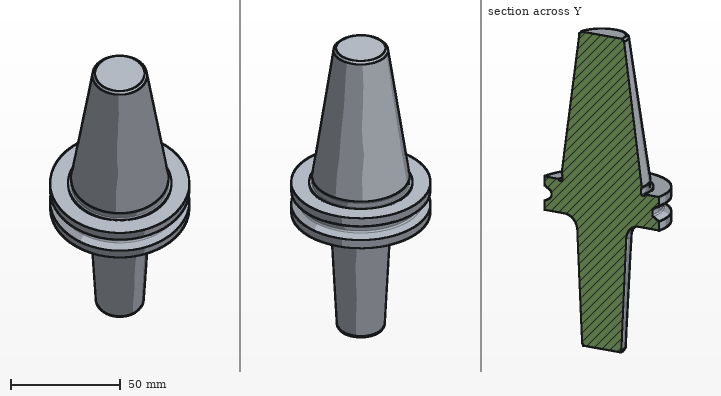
import cadquery as cq
import math

TOTAL_LENGTH = 148.4
GAUGE_HEIGHT = 80.0
FLANGE_TOP = 76.9
FLANGE_BOTTOM = 60.8

GAUGE_RADIUS = 22.3
TAPER_SLOPE = 3.5 / 24
SHANK_CHAMFER = 1.2
NECK_RADIUS = 22.0
NECK_STEP_HEIGHT = 78.8

FLANGE_RADIUS = 31.8
GROOVE_RADIUS = 28.0
GROOVE_CENTER = 68.9
GROOVE_FLOOR_WIDTH = 3.0
GROOVE_FILLET = 1.0
GROOVE_FLANK_ANGLE = 30.0
RECESS_RADIUS = 23.6
RECESS_DEPTH = 0.7
RECESS_FILLET = 0.5

NOSE_END_RADIUS = 11.0
NOSE_ROOT_RADIUS = 13.7
NOSE_ROOT_HEIGHT = 54.0
NOSE_CHAMFER = 0.7
NOSE_CHAMFER_HEIGHT = 1.2

EDGE_MARGIN = 0.07

shank_end_radius = GAUGE_RADIUS - (TOTAL_LENGTH - GAUGE_HEIGHT) * TAPER_SLOPE
chamfer_start = TOTAL_LENGTH - SHANK_CHAMFER
chamfer_radius = shank_end_radius + SHANK_CHAMFER * TAPER_SLOPE
flank_height = (FLANGE_RADIUS - GROOVE_RADIUS) * math.tan(math.radians(GROOVE_FLANK_ANGLE))
floor_top = GROOVE_CENTER + GROOVE_FLOOR_WIDTH / 2
floor_bottom = GROOVE_CENTER - GROOVE_FLOOR_WIDTH / 2

blend_radius = FLANGE_BOTTOM - NOSE_ROOT_HEIGHT
blend_top_radius = NOSE_ROOT_RADIUS + blend_radius
arc_inset = blend_radius * (1 - math.sqrt(0.5))
blend_middle = (NOSE_ROOT_RADIUS + arc_inset, FLANGE_BOTTOM - arc_inset)

profile = (
    cq.Workplane("XZ")
    .moveTo(0, 0)
    .lineTo(NOSE_END_RADIUS - NOSE_CHAMFER, 0)
    .lineTo(NOSE_END_RADIUS, NOSE_CHAMFER_HEIGHT)
    .lineTo(NOSE_ROOT_RADIUS, NOSE_ROOT_HEIGHT)
    .threePointArc(blend_middle, (blend_top_radius, FLANGE_BOTTOM))
    .lineTo(FLANGE_RADIUS, FLANGE_BOTTOM)
    .lineTo(FLANGE_RADIUS, floor_bottom - flank_height)
    .lineTo(GROOVE_RADIUS, floor_bottom)
    .lineTo(GROOVE_RADIUS, floor_top)
    .lineTo(FLANGE_RADIUS, floor_top + flank_height)
    .lineTo(FLANGE_RADIUS, FLANGE_TOP)
    .lineTo(RECESS_RADIUS, FLANGE_TOP)
    .lineTo(RECESS_RADIUS, FLANGE_TOP - RECESS_DEPTH)
    .lineTo(NECK_RADIUS, FLANGE_TOP - RECESS_DEPTH)
    .lineTo(NECK_RADIUS, NECK_STEP_HEIGHT)
    .lineTo(GAUGE_RADIUS, GAUGE_HEIGHT)
    .lineTo(chamfer_radius, chamfer_start)
    .lineTo(chamfer_radius - SHANK_CHAMFER, TOTAL_LENGTH)
    .lineTo(0, TOTAL_LENGTH)
    .close()
)

body = profile.revolve(360, (0, 0, 0), (0, 1, 0))


def round_edges(solid, radius, height, fillet):
    """Fillet the circular edges at a height, out to the given radius."""
    reach = radius + EDGE_MARGIN
    corner = cq.selectors.BoxSelector(
        (-reach, -reach, height - EDGE_MARGIN),
        (reach, reach, height + EDGE_MARGIN),
        boundingbox=True,
    )
    return solid.edges("%CIRCLE").edges(corner).fillet(fillet)


for corner_height in (floor_bottom, floor_top):
    body = round_edges(body, GROOVE_RADIUS, corner_height, GROOVE_FILLET)

result = round_edges(body, RECESS_RADIUS, FLANGE_TOP - RECESS_DEPTH, RECESS_FILLET)